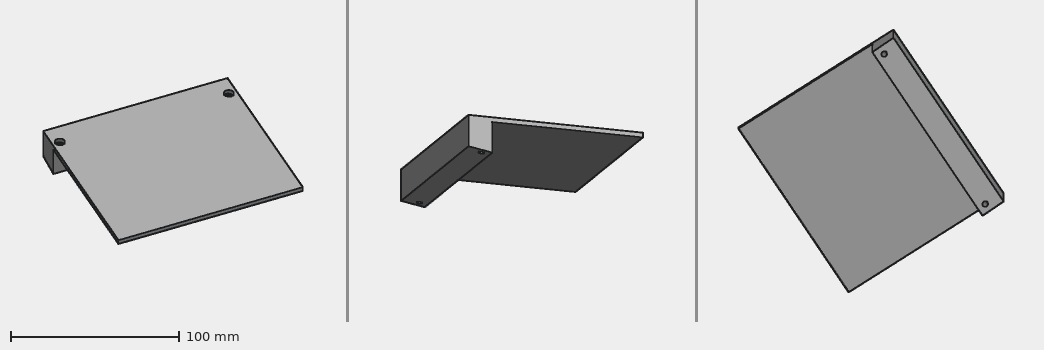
import cadquery as cq
import math

length_x = 110.0
width_y = 120.0
height_z = 22.0
plate_thickness = 3.0
lip_width = 15.0
lip_rise = 2.4

hole_x = 13.2
hole_edge_distance = 5.0
hole_diameter = 3.4
counterbore_diameter = 6.0
counterbore_depth = 3.6
overshoot = 6.0

slope = math.atan2(lip_rise, lip_width)
down_axis = cq.Vector(-math.sin(slope), 0, -math.cos(slope))


def make_bracket():
    """Plate and lip as one profile, extruded along Y and centred on it."""
    profile = [
        (0, 0),
        (length_x, 0),
        (length_x, -plate_thickness),
        (lip_width, -plate_thickness),
        (lip_width, -height_z),
        (0, lip_rise - height_z),
    ]
    return cq.Workplane("XZ").polyline(profile).close().extrude(width_y / 2, both=True)


def make_hole_tool(y):
    """Tilted through hole with a flat-bottomed counterbore from the top."""
    start = cq.Vector(hole_x, y, 0) - down_axis * overshoot
    bore = cq.Solid.makeCylinder(hole_diameter / 2, height_z + 2 * overshoot, start, down_axis)
    counterbore = cq.Solid.makeCylinder(
        counterbore_diameter / 2, counterbore_depth + overshoot, start, down_axis
    )
    return bore.fuse(counterbore)


result = make_bracket()
hole_y = width_y / 2 - hole_edge_distance
for y in (-hole_y, hole_y):
    result = result.cut(cq.Workplane(make_hole_tool(y)))